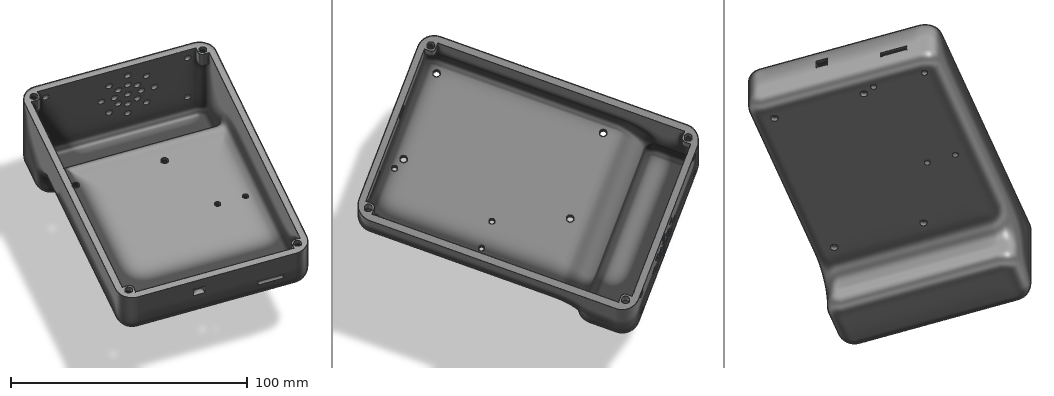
import cadquery as cq
import math

length = 126.0
width = 86.0
deep_height = 43.0
shallow_height = 23.0
deep_length = 27.0
wall = 3.0
edge_radius = 7.4
step_radius = 10.0

post_height = 7.0
post_inset = 5.0
post_edge_radius = 1.9
post_hole_diameter = 3.3

speaker_hole_diameter = 3.0
grille_y = 5.0
grille_drop = 17.6
grille_ring_radii = (6.0, 12.0)
grille_holes_per_ring = 8
speaker_screw_span_y = 64.0
speaker_screw_drops = (5.0, 30.1)

board_hole_diameter = 3.2
board_span_x = 75.1
board_span_y = 40.1
board_centre_x = 15.9
board_centre_y = -12.6
small_hole_diameter = 2.5
middle_pair_x = 9.0
middle_pair_ys = (32.6, 20.0)
end_pair_x = 55.6
end_pair_ys = (35.4, 12.6)

slot_size = (11.7, 2.3)
slot_centre = (24.2, -12.5)
port_size = (5.0, 4.0)
port_centre = (-8.1, -7.0)

left = -length / 2
back = width / 2
hole_margin = 1.3
wall_cut = wall + 2 * hole_margin


def tray_solid(inset):
    """Rounded stepped block, offset inward by `inset` on all sides but the top."""
    x_min = left + inset
    x_max = -left - inset
    x_step = left + deep_length - inset
    z_deep = inset - deep_height
    z_shallow = inset - shallow_height
    radius = edge_radius - inset
    block = (
        cq.Workplane("XZ")
        .moveTo(x_min, 0)
        .lineTo(x_max, 0)
        .lineTo(x_max, z_shallow)
        .lineTo(x_step, z_shallow)
        .lineTo(x_step, z_deep)
        .lineTo(x_min, z_deep)
        .close()
        .extrude(back - inset, both=True)
    )
    step_corner = cq.selectors.NearestToPointSelector((x_step, 0, z_shallow))
    block = block.edges(step_corner).fillet(step_radius + inset)
    return block.faces("<Y or >Y or <Z or >X").edges("not >Z").fillet(radius)


def corner_posts():
    """Blocks that fill the upper corners of the cavity, with a rounded inner edge."""
    side = edge_radius
    inner_edge = cq.selectors.NearestToPointSelector((0, 0, -post_height / 2))
    posts = cq.Workplane("XY")
    for x_sign in (-1, 1):
        for y_sign in (-1, 1):
            x_mid = x_sign * (length / 2 - side / 2)
            y_mid = y_sign * (width / 2 - side / 2)
            post = cq.Workplane("XY").box(side, side, post_height)
            post = post.translate((x_mid, y_mid, -post_height / 2))
            posts = posts.add(post.edges("|Z").edges(inner_edge).fillet(post_edge_radius))
    return posts.combine()


def floor_holes(points, diameter):
    """Cutters that pass down through the floor of the shallow section."""
    return (
        cq.Workplane("XY")
        .workplane(offset=-shallow_height - hole_margin)
        .pushPoints(points)
        .circle(diameter / 2)
        .extrude(wall_cut)
    )


def speaker_wall_holes(points):
    """Cutters through the -X wall, at (y, z) points."""
    return (
        cq.Workplane("YZ")
        .workplane(offset=left - hole_margin)
        .pushPoints(points)
        .circle(speaker_hole_diameter / 2)
        .extrude(wall_cut)
    )


def end_wall_opening(size, centre):
    """Rectangular cutter through the +X wall."""
    return (
        cq.Workplane("YZ")
        .workplane(offset=-left + hole_margin)
        .center(*centre)
        .rect(*size)
        .extrude(-wall_cut)
    )


outside = tray_solid(0)
result = outside.cut(tray_solid(wall)).union(corner_posts().intersect(outside))

result = result.cut(
    cq.Workplane("XY")
    .rect(length - 2 * post_inset, width - 2 * post_inset, forConstruction=True)
    .vertices()
    .circle(post_hole_diameter / 2)
    .extrude(-post_height)
)

grille_points = [(grille_y, -grille_drop)]
for ring_radius in grille_ring_radii:
    for i in range(grille_holes_per_ring):
        angle = 2 * math.pi * i / grille_holes_per_ring
        y = grille_y + ring_radius * math.cos(angle)
        z = -grille_drop + ring_radius * math.sin(angle)
        grille_points.append((y, z))
result = result.cut(speaker_wall_holes(grille_points))

screw_points = [
    (side * speaker_screw_span_y / 2, -drop)
    for side in (-1, 1)
    for drop in speaker_screw_drops
]
result = result.cut(speaker_wall_holes(screw_points))

board_points = [
    (board_centre_x + i * board_span_x / 2, board_centre_y + j * board_span_y / 2)
    for i in (-1, 1)
    for j in (-1, 1)
]
small_points = [(middle_pair_x, y) for y in middle_pair_ys]
small_points += [(end_pair_x, y) for y in end_pair_ys]
result = result.cut(floor_holes(board_points, board_hole_diameter))
result = result.cut(floor_holes(small_points, small_hole_diameter))

result = result.cut(end_wall_opening(slot_size, slot_centre))
result = result.cut(end_wall_opening(port_size, port_centre))